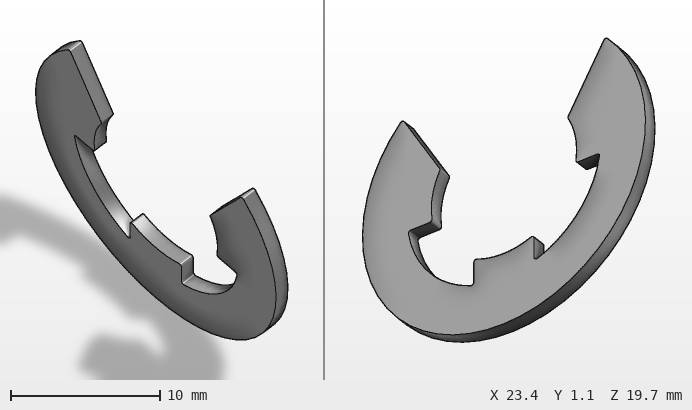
import cadquery as cq
import math

thickness = 1.1
outer_radius = 11.7
shaft_radius = 6.0
relief_radius = 8.0
lug_width = 5.0
shoulder_z = -1.05
mouth_half_angle = 30.6
mouth_apex_z = -shaft_radius
corner_radius = 0.2


def disc(radius):
    """Cylinder of the clip's thickness, centred on the ring axis."""
    return cq.Workplane("XZ").circle(radius).extrude(thickness / 2, both=True)


def below_shoulder():
    """Block covering everything in the relief disc below the prong shoulders."""
    height = relief_radius + shoulder_z
    return (
        cq.Workplane("XZ")
        .center(0, shoulder_z - height / 2)
        .rect(2 * relief_radius, height)
        .extrude(thickness / 2, both=True)
    )


def bottom_lug():
    """Block as wide as the bottom lug, running down from the ring axis."""
    return (
        cq.Workplane("XZ")
        .center(0, -relief_radius / 2)
        .rect(lug_width, relief_radius)
        .extrude(thickness / 2, both=True)
    )


def mouth():
    """Wedge opening upward between the prongs, reaching past the outer edge."""
    top_z = outer_radius
    half_width = (top_z - mouth_apex_z) * math.tan(math.radians(mouth_half_angle))
    return (
        cq.Workplane("XZ")
        .polyline([(0, mouth_apex_z), (half_width, top_z), (-half_width, top_z)])
        .close()
        .extrude(thickness / 2, both=True)
    )


relief = disc(relief_radius).intersect(below_shoulder()).cut(bottom_lug())

blank = disc(outer_radius).cut(disc(shaft_radius)).cut(relief).cut(mouth())

corners = blank.edges("|Y").filter(lambda edge: abs(edge.Center().z) > corner_radius)
result = corners.fillet(corner_radius)